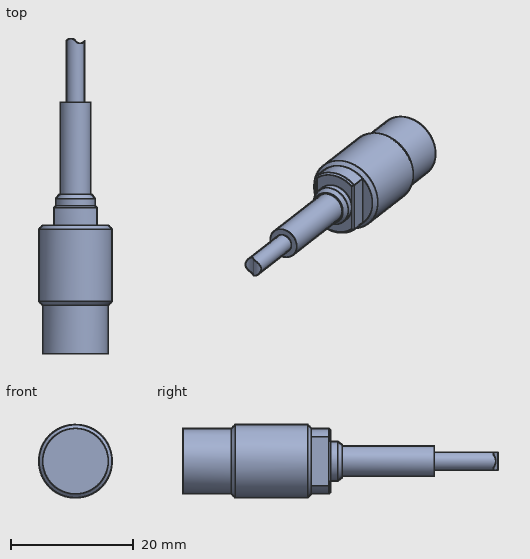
import cadquery as cq

nose_diameter = 10.7
nose_length = 7.9

barrel_diameter = 12.0
barrel_end = 20.95
barrel_chamfer = (barrel_diameter - nose_diameter) / 2

collar_diameter = nose_diameter
collar_end = 24.1
collar_flat_width = 7.05
collar_chamfer = 0.3

shoulder_diameter = 6.5
shoulder_end = 26.0

sleeve_diameter = 5.0
sleeve_end = 41.0

taper_length = 0.55
taper_depth = (shoulder_diameter - sleeve_diameter) / 2

cable_diameter = 3.0
cable_end = 51.4
break_depth = 0.75


def rod(diameter, start, end):
    """Round rod along +Y between two positions."""
    plane = cq.Plane(origin=(0, start, 0), xDir=(1, 0, 0), normal=(0, 1, 0))
    return cq.Workplane(plane).circle(diameter / 2).extrude(end - start)


def make_collar():
    """Round collar with two wrench flats facing -X and +X, chamfered at its rear end."""
    length = collar_end - barrel_end
    middle = (collar_end + barrel_end) / 2
    flats = cq.Workplane("XY").box(collar_flat_width, length, collar_diameter).translate((0, middle, 0))
    collar = rod(collar_diameter, barrel_end, collar_end).intersect(flats)
    return collar.faces(">Y").chamfer(collar_chamfer)


def make_housing():
    """Nose, chamfered barrel, wrench collar and cable sleeve in one solid."""
    nose = rod(nose_diameter, 0, nose_length)
    barrel = rod(barrel_diameter, nose_length, barrel_end).faces("<Y or >Y").chamfer(barrel_chamfer)
    shoulder = rod(shoulder_diameter, collar_end, shoulder_end)
    shoulder = shoulder.faces(">Y").chamfer(taper_depth, taper_length)
    sleeve = rod(sleeve_diameter, shoulder_end, sleeve_end)
    return nose.union(barrel).union(make_collar()).union(shoulder).union(sleeve)


def make_cable():
    """Cable butting on the sleeve, with an S-shaped broken end made of two arcs."""
    radius = cable_diameter / 2
    break_middle = cable_end - break_depth / 2
    break_profile = (
        cq.Workplane("XY")
        .workplane(offset=-radius)
        .moveTo(-radius, sleeve_end)
        .lineTo(-radius, break_middle)
        .threePointArc((-radius / 2, cable_end), (0, break_middle))
        .threePointArc((radius / 2, cable_end - break_depth), (radius, break_middle))
        .lineTo(radius, sleeve_end)
        .close()
        .extrude(cable_diameter)
    )
    return rod(cable_diameter, sleeve_end, cable_end).intersect(break_profile)


housing = make_housing()
cable = make_cable()

result = cq.Compound.makeCompound([housing.val(), cable.val()])